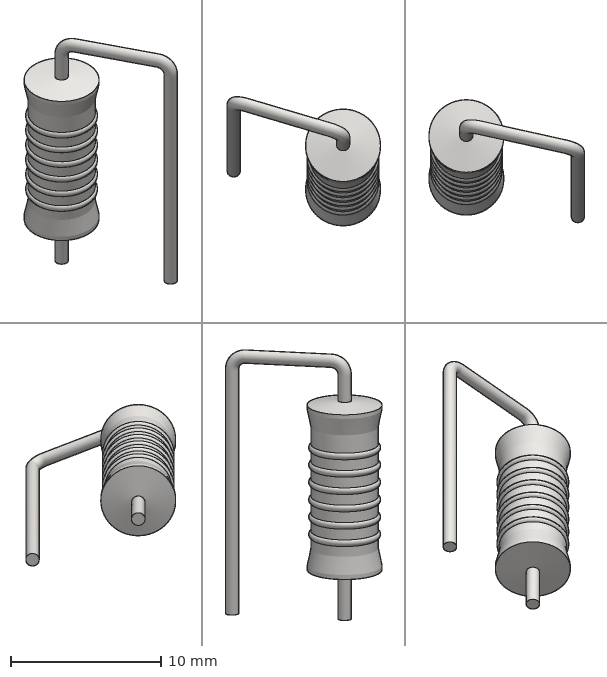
import cadquery as cq


lead_diameter = 0.9
lead_radius = lead_diameter / 2
lead_pitch = 7.62
bend_radius = lead_diameter
lead_bottom = -3.0
total_height = 18.25
lead_crest = lead_bottom + total_height - lead_radius

body_length = 12.0
barrel_radius = 4.5 / 2
rim_radius = 5.0 / 2
end_cone_height = 0.3
end_cone_tip_radius = 0.35
rim_height = 0.3
flare_height = 1.2
body_bottom = 0.1
body_centre = body_bottom + body_length / 2

ring_count = 6
ring_projection = 0.15
ring_tube_radius = 0.25
ring_centre_radius = barrel_radius + ring_projection - ring_tube_radius
barrel_length = body_length - 2 * (end_cone_height + rim_height + flare_height)
barrel_bottom = body_centre - barrel_length / 2
ring_pitch = barrel_length / (ring_count + 1)
lowest_ring_centre = barrel_bottom + ring_pitch - ring_tube_radius


def make_body():
    """Revolved half of the spool-shaped body, mirrored about its mid-height."""
    rim_bottom = body_bottom + end_cone_height
    rim_top = rim_bottom + rim_height
    lower_half = (
        cq.Workplane("XZ")
        .moveTo(0, body_bottom)
        .lineTo(end_cone_tip_radius, body_bottom)
        .lineTo(rim_radius, rim_bottom)
        .lineTo(rim_radius, rim_top)
        .lineTo(barrel_radius, barrel_bottom)
        .lineTo(barrel_radius, body_centre)
        .lineTo(0, body_centre)
        .close()
        .revolve(360, (0, 0, 0), (0, 1, 0))
    )
    upper_half = lower_half.mirror("XY", (0, 0, body_centre))
    return lower_half.union(upper_half)


def make_ring(height):
    """Rounded bead centred at the given height, its flat inner side buried in the barrel."""
    return (
        cq.Workplane("XZ")
        .moveTo(ring_centre_radius, height - ring_tube_radius)
        .threePointArc(
            (ring_centre_radius + ring_tube_radius, height),
            (ring_centre_radius, height + ring_tube_radius),
        )
        .close()
        .revolve(360, (0, 0, 0), (0, 1, 0))
    )


def make_lead():
    """Single wire: up the body axis, across the top and down to the far end."""
    bend_start = lead_crest - bend_radius
    path = (
        cq.Workplane("XZ")
        .moveTo(0, lead_bottom)
        .lineTo(0, bend_start)
        .tangentArcPoint((bend_radius, lead_crest), relative=False)
        .lineTo(lead_pitch - bend_radius, lead_crest)
        .tangentArcPoint((lead_pitch, bend_start), relative=False)
        .lineTo(lead_pitch, lead_bottom)
    )
    return cq.Workplane("XY", origin=(0, 0, lead_bottom)).circle(lead_radius).sweep(path)


result = make_body().union(make_lead())
for ring_index in range(ring_count):
    result = result.union(make_ring(lowest_ring_centre + ring_index * ring_pitch))